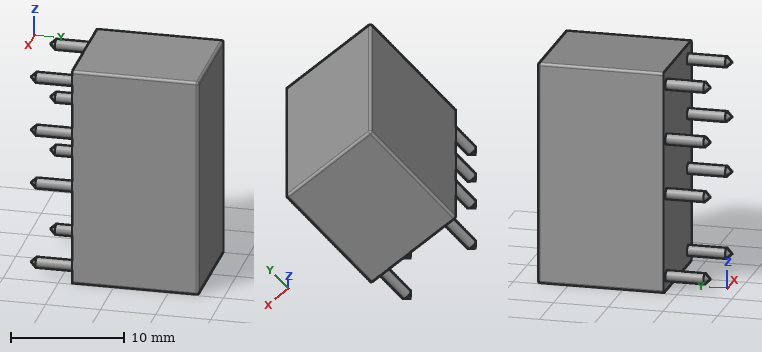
import cadquery as cq

case_width = 10.0
case_height = 20.5
total_depth = 15.52
edge_radius = 0.25

pin_length = 4.02
pin_diameter = 1.0
tip_length = 0.53
column_spacing = 7.63
row_pitch = 5.08
top_row_inset = 1.41

case_depth = total_depth - pin_length
pin_radius = pin_diameter / 2
shank_length = pin_length - tip_length

row_steps = (0, 1, 2, 3.5)
top_row_z = case_height / 2 - top_row_inset


def make_case():
    """Block with its pin face on Y = 0 and its rounded back at +Y."""
    block = cq.Workplane("XY").box(case_width, case_depth, case_height, centered=(True, False, True))
    return block.edges("not <Y").fillet(edge_radius)


def make_pin(x, z):
    """Round pin with a conical tip, pointing along -Y from the pin face."""
    profile = (
        cq.Workplane("YZ")
        .lineTo(0, pin_radius)
        .lineTo(-shank_length, pin_radius)
        .lineTo(-pin_length, 0)
        .close()
    )
    return profile.revolve(360, (0, 0, 0), (1, 0, 0)).translate((x, 0, z))


result = make_case()
for x in (-column_spacing / 2, column_spacing / 2):
    for step in row_steps:
        result = result.union(make_pin(x, top_row_z - step * row_pitch))